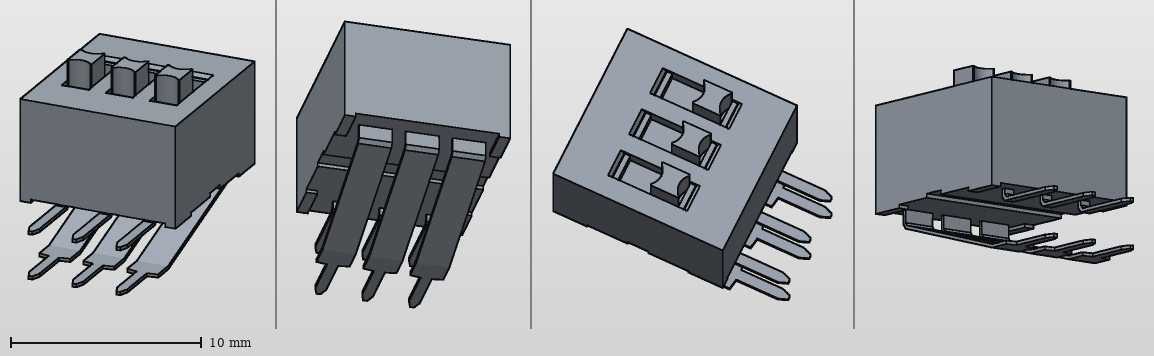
import cadquery as cq
import math


body_x = 8.98
body_y = 9.88
body_z = 5.8
foot_x = 0.6
foot_y = 2.0
foot_height = 0.19
vent_y = 1.2
vent_height = 0.41

position_count = 3
pitch = 2.54

slot_x = 1.54
slot_y = 4.61
slot_lip_y = 4.2
slot_shelf_y = 4.12
slot_well_y = 3.5
lip_depth = (slot_y - slot_lip_y) / 2
shelf_depth = 0.23
well_depth = 0.9

knob_x = 1.43
knob_y = 1.61
knob_rise = 1.24
scoop_chord = 1.26
scoop_depth = 0.28

sheet = 0.19
row_offset = 3.81
leg_embed = 1.0
pin_x = 0.6
pin_tip_x = 0.22
pin_tip_length = 0.5
pin_reach = 2.92
pin_end_y = -body_y / 2 - pin_reach
lower_pin_z = -3.0
upper_pin_z = lower_pin_z + pitch
bend_flat = 0.19
strip_inner_flat = 0.13
strip_x = 1.8
strip_corner_z = -0.66
strip_bend_y = -3.61
shoulder_outer_y = -4.83
shoulder_inner_y = -4.93


def make_housing():
    housing = cq.Workplane("XY").box(body_x, body_y, body_z, centered=(True, True, False))
    channel_along_y = cq.Workplane("XY").box(
        body_x - 2 * foot_x, body_y, foot_height, centered=(True, True, False)
    )
    channel_along_x = cq.Workplane("XY").box(
        body_x, body_y - 2 * foot_y, foot_height, centered=(True, True, False)
    )
    vent = cq.Workplane("XY").box(body_x, vent_y, vent_height, centered=(True, True, False))
    return housing.cut(channel_along_y).cut(channel_along_x).cut(vent)


def make_slot(x):
    """Pocket with sloped end lips, a fine step inside each lip, a shelf at each end and a deeper well between them."""
    lip_z = body_z - lip_depth
    shelf_z = body_z - shelf_depth
    well_z = body_z - well_depth
    outline = [
        (-slot_y / 2, body_z),
        (-slot_lip_y / 2, lip_z),
        (-slot_shelf_y / 2, lip_z),
        (-slot_shelf_y / 2, shelf_z),
        (-slot_well_y / 2, shelf_z),
        (-slot_well_y / 2, well_z),
        (slot_well_y / 2, well_z),
        (slot_well_y / 2, shelf_z),
        (slot_shelf_y / 2, shelf_z),
        (slot_shelf_y / 2, lip_z),
        (slot_lip_y / 2, lip_z),
        (slot_y / 2, body_z),
    ]
    slot = cq.Workplane("YZ").polyline(outline).close().extrude(slot_x / 2, both=True)
    return slot.translate((x, 0, 0))


def make_knob(x):
    """Slider at the -Y end of its well, with a hollow scooped into both ends."""
    front_y = -slot_well_y / 2
    back_y = front_y + knob_y
    half_x = knob_x / 2
    half_chord = scoop_chord / 2
    return (
        cq.Workplane("XY", origin=(x, 0, body_z - well_depth))
        .moveTo(-half_x, front_y)
        .lineTo(-half_chord, front_y)
        .threePointArc((0, front_y + scoop_depth), (half_chord, front_y))
        .lineTo(half_x, front_y)
        .lineTo(half_x, back_y)
        .lineTo(half_chord, back_y)
        .threePointArc((0, back_y - scoop_depth), (-half_chord, back_y))
        .lineTo(-half_x, back_y)
        .close()
        .extrude(well_depth + knob_rise)
    )


def flattened_corner(corner, run_angle, flat=bend_flat):
    """Two points replacing the corner between a vertical leg and a run falling towards -Y."""
    y, z = corner
    run_end = (y - flat * math.cos(run_angle), z - flat * math.sin(run_angle))
    return [(y, z + flat), run_end]


def make_terminal(x, side_outline, plan_outline):
    """Bent sheet: the part common to its side profile and its plan outline."""
    side = cq.Workplane("YZ").polyline(side_outline).close().extrude(strip_x / 2, both=True)
    plan = (
        cq.Workplane("XY", origin=(0, 0, lower_pin_z))
        .polyline(plan_outline)
        .close()
        .extrude(leg_embed - lower_pin_z)
    )
    return side.intersect(plan).translate((x, 0, 0))


def pin_plan(start_points):
    """Symmetric plan outline: the given -X side points followed by the tapered pin end."""
    left = start_points + [
        (-pin_x / 2, pin_end_y + pin_tip_length),
        (-pin_tip_x / 2, pin_end_y),
    ]
    right = [(-px, py) for px, py in reversed(left)]
    return left + right


def make_upper_terminal(x):
    """Short leg near the -Y end, bent straight out into a narrow pin."""
    inner_y = -row_offset - sheet / 2
    outer_y = -row_offset + sheet / 2
    side = [
        (inner_y, leg_embed),
        *flattened_corner((inner_y, upper_pin_z + sheet), 0),
        (pin_end_y, upper_pin_z + sheet),
        (pin_end_y, upper_pin_z),
        *reversed(flattened_corner((outer_y, upper_pin_z), 0)),
        (outer_y, leg_embed),
    ]
    return make_terminal(x, side, pin_plan([(-pin_x / 2, outer_y)]))


def make_lower_terminal(x):
    """Wide strip from the +Y end, sloping under the housing and narrowing to a pin."""
    inner_y = row_offset - sheet / 2
    outer_y = row_offset + sheet / 2
    top_z = lower_pin_z + sheet
    slope = math.atan2(strip_corner_z - top_z, inner_y - strip_bend_y)
    outer_corner_z = strip_corner_z + sheet * math.tan(slope) - sheet / math.cos(slope)
    side = [
        (inner_y, leg_embed),
        *flattened_corner((inner_y, strip_corner_z), slope, strip_inner_flat),
        (strip_bend_y, top_z),
        (pin_end_y, top_z),
        (pin_end_y, lower_pin_z),
        (strip_bend_y + sheet * math.tan(slope / 2), lower_pin_z),
        *reversed(flattened_corner((outer_y, outer_corner_z), slope)),
        (outer_y, leg_embed),
    ]
    strip = [
        (-strip_x / 2, outer_y),
        (-strip_x / 2, shoulder_outer_y),
        (-pin_x / 2, shoulder_inner_y),
    ]
    return make_terminal(x, side, pin_plan(strip))


result = make_housing()
for index in range(position_count):
    position_x = (index - (position_count - 1) / 2) * pitch
    result = result.cut(make_slot(position_x))
    result = result.union(make_knob(position_x))
    result = result.union(make_upper_terminal(position_x))
    result = result.union(make_lower_terminal(position_x))